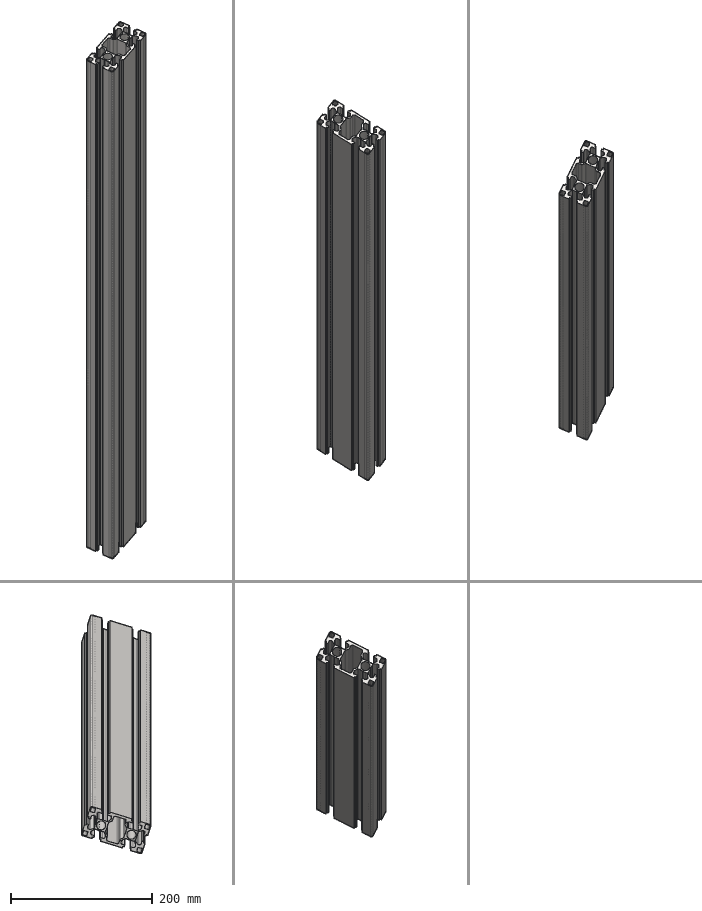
import cadquery as cq
import math

MODULE = 45.0
CELL_COUNT = 2
WIDTH = MODULE
DEPTH = MODULE * CELL_COUNT
LENGTH = 1000.0
OUTER_CORNER_RADIUS = 2.4

MOUTH_HALF_WIDTH = 6.3
MOUTH_DEPTH = 2.2
NECK_HALF_WIDTH = 4.25
LIP_BEVEL_WIDTH = 1.5
LIP_BEVEL_DROP = 0.4
LIP_DEPTH = 5.0
LIP_UNDERSIDE_DROP = 0.5
CHAMBER_HALF_WIDTH = 10.6
CHAMBER_CORNER_RADIUS = 2.5
TAPER_START_DEPTH = 9.6
FLOOR_DEPTH = 14.5
FLOOR_HALF_WIDTH = 7.2

GROOVE_HALF_WIDTH = 0.5
RISE_WIDTH = 4.2
RISE_ANGLE = math.radians(13)
RISE_RADIUS = RISE_WIDTH / math.sin(RISE_ANGLE)

BORE_RADIUS = 6.5
CORNER_HOLE_SIZE = 6.4
CORNER_HOLE_RADIUS = 1.0
CORNER_HOLE_INSET = 4.6

CAVITY_HALF_WIDTH = 19.0
CAVITY_SIDE_HALF_HEIGHT = 7.5
CAVITY_SHOULDER_OUTER = 17.0
CAVITY_SHOULDER_INNER = 11.2
CAVITY_SHOULDER_HALF_HEIGHT = 9.4
CAVITY_TOP_HALF_WIDTH = 7.3
CAVITY_TOP_HALF_HEIGHT = 13.6
CAVITY_CORNER_RADIUS = 0.8

CELL_CENTRES = [(i - (CELL_COUNT - 1) / 2) * MODULE for i in range(CELL_COUNT)]


def rise_point(angle):
    """Point on the floor arc where its slope has the given angle."""
    x = GROOVE_HALF_WIDTH + RISE_WIDTH - RISE_RADIUS * math.sin(angle)
    y = -FLOOR_DEPTH + RISE_RADIUS * (1 - math.cos(angle))
    return x, y


def mirror_x(point):
    return -point[0], point[1]


def make_slot_cutter():
    """T-slot along Z, open toward +Y at the origin."""
    right_side = [
        (MOUTH_HALF_WIDTH, 0),
        (MOUTH_HALF_WIDTH, -MOUTH_DEPTH),
        (NECK_HALF_WIDTH + LIP_BEVEL_WIDTH, -MOUTH_DEPTH),
        (NECK_HALF_WIDTH, -MOUTH_DEPTH - LIP_BEVEL_DROP),
        (NECK_HALF_WIDTH, -LIP_DEPTH - LIP_UNDERSIDE_DROP),
        (CHAMBER_HALF_WIDTH, -LIP_DEPTH),
        (CHAMBER_HALF_WIDTH, -TAPER_START_DEPTH),
        (FLOOR_HALF_WIDTH, -FLOOR_DEPTH),
    ]
    rise_start = rise_point(0)
    rise_middle = rise_point(RISE_ANGLE / 2)
    groove_edge = rise_point(RISE_ANGLE)
    groove_bottom = (0, groove_edge[1] - GROOVE_HALF_WIDTH)

    outline = cq.Workplane("XY").moveTo(*right_side[0])
    for point in right_side[1:] + [rise_start]:
        outline = outline.lineTo(*point)
    outline = outline.threePointArc(rise_middle, groove_edge)
    outline = outline.lineTo(*groove_bottom)
    outline = outline.lineTo(*mirror_x(groove_edge))
    outline = outline.threePointArc(mirror_x(rise_middle), mirror_x(rise_start))
    for point in reversed(right_side):
        outline = outline.lineTo(*mirror_x(point))
    cutter = outline.close().extrude(LENGTH)

    chamber_corners = [
        edge
        for edge in cutter.edges("|Z").vals()
        if math.isclose(abs(edge.Center().x), CHAMBER_HALF_WIDTH, abs_tol=1e-3)
    ]
    return cutter.newObject(chamber_corners).fillet(CHAMBER_CORNER_RADIUS)


def cut_slots(body):
    """One slot on each end face and one per cell on each long side."""
    places = [(0, DEPTH / 2, 0), (0, -DEPTH / 2, 180)]
    for y in CELL_CENTRES:
        places.append((-WIDTH / 2, y, 90))
        places.append((WIDTH / 2, y, -90))
    cutter = make_slot_cutter()
    for x, y, angle in places:
        turned = cutter.rotate((0, 0, 0), (0, 0, 1), angle)
        body = body.cut(turned.translate((x, y, 0)))
    return body


def cut_bores(body):
    centres = [(0, y) for y in CELL_CENTRES]
    bores = cq.Workplane("XY").pushPoints(centres).circle(BORE_RADIUS).extrude(LENGTH)
    return body.cut(bores)


def cut_corner_holes(body):
    """Rounded square holes near the four outer corners."""
    holes = (
        cq.Workplane("XY")
        .rect(WIDTH - 2 * CORNER_HOLE_INSET, DEPTH - 2 * CORNER_HOLE_INSET, forConstruction=True)
        .vertices()
        .rect(CORNER_HOLE_SIZE, CORNER_HOLE_SIZE)
        .extrude(LENGTH)
        .edges("|Z")
        .fillet(CORNER_HOLE_RADIUS)
    )
    return body.cut(holes)


def cut_cavity(body):
    """Hollow between the two cells, narrowing toward each bore."""
    quarter = [
        (CAVITY_HALF_WIDTH, CAVITY_SIDE_HALF_HEIGHT),
        (CAVITY_SHOULDER_OUTER, CAVITY_SHOULDER_HALF_HEIGHT),
        (CAVITY_SHOULDER_INNER, CAVITY_SHOULDER_HALF_HEIGHT),
        (CAVITY_TOP_HALF_WIDTH, CAVITY_TOP_HALF_HEIGHT),
    ]
    upper = quarter + [mirror_x(point) for point in reversed(quarter)]
    lower = [(-x, -y) for x, y in upper]
    cavity = cq.Workplane("XY").polyline(upper + lower).close().extrude(LENGTH)
    return body.cut(cavity.edges("|Z").fillet(CAVITY_CORNER_RADIUS))


result = cq.Workplane("XY").rect(WIDTH, DEPTH).extrude(LENGTH)
result = result.edges("|Z").fillet(OUTER_CORNER_RADIUS)
result = cut_slots(result)
result = cut_bores(result)
result = cut_corner_holes(result)
result = cut_cavity(result)